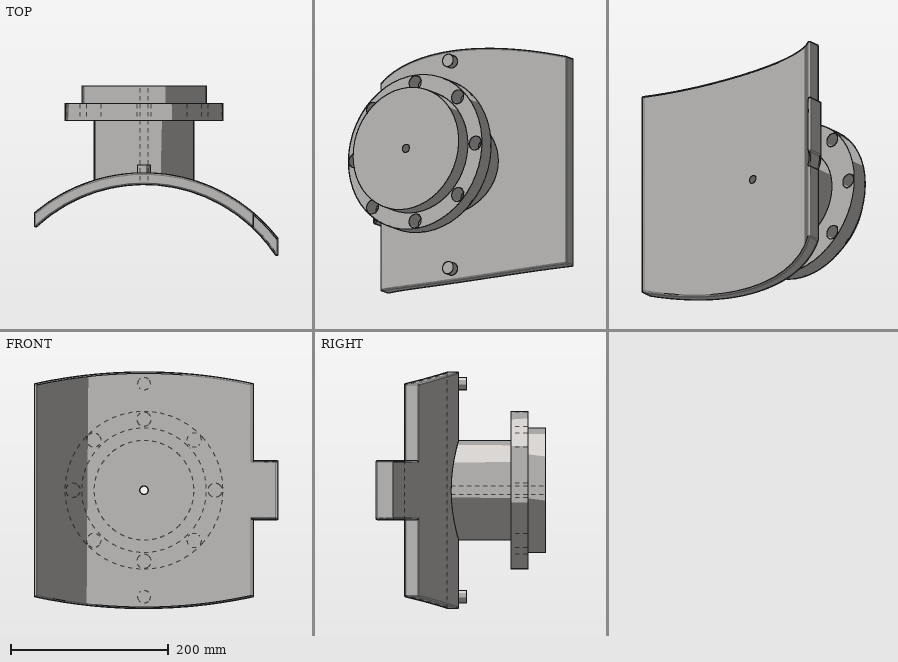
import cadquery as cq

inner_radius = 200.0
wall = 15.0
outer_radius = inner_radius + wall
plate_width = 278.0
plate_height = 300.0
rim_arc_radius = 650.0
edge_fillet = 2.0

tab_end_x = 170.0
tab_height = 75.0
corner_search_size = 2.0

pipe_diameter = 126.4
flange_diameter = 200.0
flange_thickness = 22.0
face_diameter = 158.0
face_thickness = 22.0
back_y = 325.0
flange_back_y = back_y - face_thickness
flange_front_y = flange_back_y - flange_thickness

bolt_count = 8
bolt_hole_diameter = 18.0
bolt_circle_diameter = 180.0

pin_diameter = 16.0
pin_length = 10.0
pin_offset_z = 135.0
pin_end_y = outer_radius + pin_length

port_diameter = 10.4

root_depth = 13.0
root_y = outer_radius - root_depth


def cylinder_along_y(diameter, start_y, end_y, z=0.0):
    """Solid cylinder parallel to Y, between two Y positions."""
    base = cq.Workplane("XZ", origin=(0, start_y, z))
    return base.circle(diameter / 2).extrude(start_y - end_y)


def make_outline():
    """XZ outline of plate and tab, extruded through the +Y half of the shell."""
    half_width = plate_width / 2
    half_height = plate_height / 2
    rim_drop = rim_arc_radius - (rim_arc_radius**2 - half_width**2) ** 0.5
    corner_z = half_height - rim_drop
    half_tab = tab_height / 2
    return (
        cq.Workplane("XZ")
        .moveTo(-half_width, -corner_z)
        .threePointArc((0, -half_height), (half_width, -corner_z))
        .lineTo(half_width, -half_tab)
        .lineTo(tab_end_x, -half_tab)
        .lineTo(tab_end_x, half_tab)
        .lineTo(half_width, half_tab)
        .lineTo(half_width, corner_z)
        .threePointArc((0, half_height), (-half_width, corner_z))
        .close()
        .extrude(-outer_radius)
    )


def make_plate():
    """Curved plate with tab, all edges rounded except the two inside corners of the tab."""
    shell = (
        cq.Workplane("XY")
        .circle(outer_radius)
        .circle(inner_radius)
        .extrude(plate_height / 2, both=True)
    )
    plate = shell.intersect(make_outline())
    half_width = plate_width / 2
    half_search = corner_search_size / 2
    inside_corners = cq.selectors.BoxSelector(
        (half_width - half_search, 0, -tab_height),
        (half_width + half_search, outer_radius, tab_height),
    )
    return plate.edges(-inside_corners).fillet(edge_fillet)


def make_flanged_pipe():
    """Pipe from the plate to the flange, with bolt holes around the raised face."""
    pipe = cylinder_along_y(pipe_diameter, root_y, flange_back_y)
    flange = cylinder_along_y(flange_diameter, flange_front_y, flange_back_y)
    raised_face = cylinder_along_y(face_diameter, flange_back_y, back_y)
    bolt_holes = (
        cq.Workplane("XZ", origin=(0, flange_front_y, 0))
        .polarArray(bolt_circle_diameter / 2, 0, 360, bolt_count)
        .circle(bolt_hole_diameter / 2)
        .extrude(-flange_thickness)
    )
    return flange.cut(bolt_holes).union(pipe).union(raised_face)


result = make_plate().union(make_flanged_pipe())

for pin_z in (-pin_offset_z, pin_offset_z):
    result = result.union(cylinder_along_y(pin_diameter, root_y, pin_end_y, z=pin_z))

result = result.cut(cylinder_along_y(port_diameter, 0, back_y))